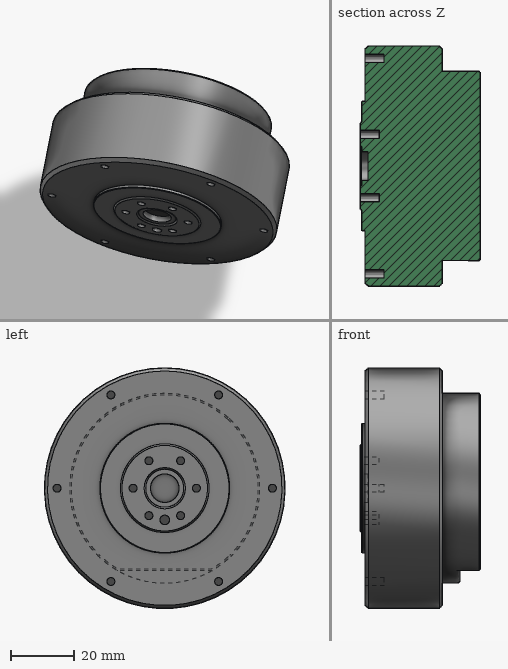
import cadquery as cq

OUTPUT_FACE_X = 0.0
COLLAR_FACE_X = 0.5
HOUSING_FACE_X = 1.5
HOUSING_BACK_X = 26.0
LEDGE_BACK_X = 31.6
COVER_BACK_X = 38.0

HUB_RADIUS = 14.0
COLLAR_RADIUS = 20.5
HOUSING_RADIUS = 38.0
COVER_RADIUS = 30.0

HUB_CHAMFER = 0.5
COLLAR_CHAMFER = 0.2
HOUSING_CHAMFER = 1.0
HOUSING_FRONT_CHAMFER_LENGTH = 1.2
COVER_CHAMFER = 0.5
LEDGE_FILLET = 1.0

FLAT_DISTANCE = 26.0

RECESS_RADIUS = 6.5
RECESS_FLOOR_RADIUS = 6.0
RECESS_DEPTH = 0.5
BORE_RADIUS = 4.5
BORE_DEPTH = 2.5

HOLE_COUNT = 6
SCREW_HOLE_RADIUS = 1.25
SCREW_HOLE_DEPTH = 6.0
HUB_HOLE_CIRCLE_RADIUS = 10.0
HOUSING_HOLE_CIRCLE_RADIUS = 34.0
DOWEL_HOLE_RADIUS = 1.5


def cylinder(radius, start_x, end_x, z=0.0):
    """Cylinder parallel to X between two stations."""
    return cq.Workplane("YZ", origin=(start_x, 0, z)).circle(radius).extrude(end_x - start_x)


def turned_body():
    """Hub, collar and housing as one revolved profile."""
    profile = [
        (OUTPUT_FACE_X, 0),
        (OUTPUT_FACE_X, HUB_RADIUS - HUB_CHAMFER),
        (COLLAR_FACE_X, HUB_RADIUS),
        (COLLAR_FACE_X, COLLAR_RADIUS - COLLAR_CHAMFER),
        (COLLAR_FACE_X + COLLAR_CHAMFER, COLLAR_RADIUS),
        (HOUSING_FACE_X, COLLAR_RADIUS),
        (HOUSING_FACE_X, HOUSING_RADIUS - HOUSING_CHAMFER),
        (HOUSING_FACE_X + HOUSING_FRONT_CHAMFER_LENGTH, HOUSING_RADIUS),
        (HOUSING_BACK_X - HOUSING_CHAMFER, HOUSING_RADIUS),
        (HOUSING_BACK_X, HOUSING_RADIUS - HOUSING_CHAMFER),
        (HOUSING_BACK_X, 0),
    ]
    return cq.Workplane("XZ").polyline(profile).close().revolve(360, (0, 0, 0), (1, 0, 0))


def rear_cover():
    """Round cover with a flat underside standing on a full-round ledge."""
    ledge = cylinder(COVER_RADIUS, HOUSING_BACK_X, LEDGE_BACK_X).faces(">X").edges().fillet(LEDGE_FILLET)
    cover = cylinder(COVER_RADIUS, HOUSING_BACK_X, COVER_BACK_X)
    below_flat = cq.Workplane("XY", origin=(HOUSING_BACK_X, 0, -FLAT_DISTANCE)).box(
        COVER_BACK_X - HOUSING_BACK_X,
        2 * COVER_RADIUS,
        COVER_RADIUS,
        centered=(False, True, False),
    )
    cover = cover.cut(below_flat.translate((0, 0, -COVER_RADIUS)))
    cover = cover.faces(">X").chamfer(COVER_CHAMFER)
    return ledge.union(cover)


def centre_recess():
    """Bore with a tapered recess at its mouth."""
    mouth = cq.Workplane("YZ", origin=(OUTPUT_FACE_X, 0, 0)).circle(RECESS_RADIUS)
    recess = mouth.workplane(offset=RECESS_DEPTH).circle(RECESS_FLOOR_RADIUS).loft()
    return recess.union(cylinder(BORE_RADIUS, OUTPUT_FACE_X, BORE_DEPTH))


def hole_ring(circle_radius, face_x):
    """Evenly spaced blind screw holes, the first on the +Y axis."""
    holes = cq.Workplane("YZ", origin=(face_x, 0, 0)).polarArray(circle_radius, 0, 360, HOLE_COUNT)
    return holes.circle(SCREW_HOLE_RADIUS).extrude(SCREW_HOLE_DEPTH)


def dowel_hole():
    """Blind dowel hole at the bottom of the hub hole circle."""
    return cylinder(DOWEL_HOLE_RADIUS, OUTPUT_FACE_X, SCREW_HOLE_DEPTH, z=-HUB_HOLE_CIRCLE_RADIUS)


result = turned_body().union(rear_cover())
result = result.cut(centre_recess())
result = result.cut(hole_ring(HUB_HOLE_CIRCLE_RADIUS, OUTPUT_FACE_X))
result = result.cut(hole_ring(HOUSING_HOLE_CIRCLE_RADIUS, HOUSING_FACE_X))
result = result.cut(dowel_hole())